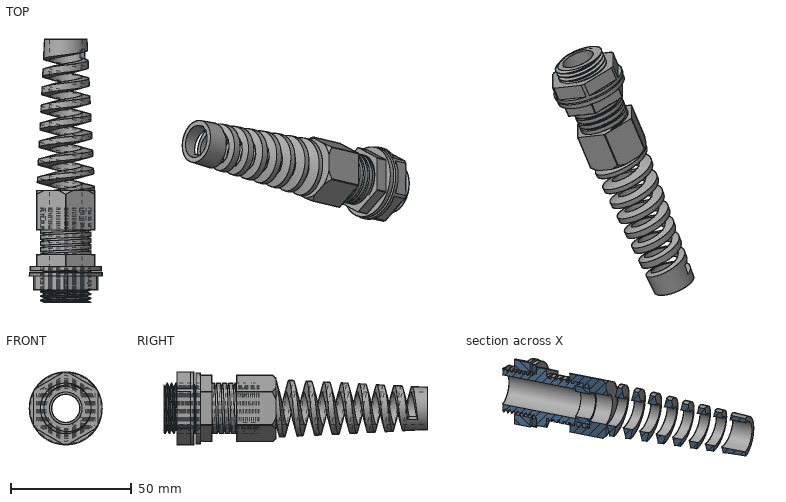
import cadquery as cq
import math


LOCKNUT_BOTTOM = 5.4
FLANGE_BOTTOM = 11.1
LOCKNUT_TOP = 12.5
WASHER_BOTTOM = 13.3
BODY_HEX_BOTTOM = 15.1
BODY_HEX_TOP = 20.0
CAP_BOTTOM = 30.3
BODY_TOP = 39.5
CAP_TOP = 46.7
SLEEVE_TOP = 109.7

THREAD_RADIUS = 10.5
BORE_RADIUS = 6.8
WRENCH_FLATS = 24.1
WRENCH_CORNER_RADIUS = 13.8
LOCKNUT_FLATS = 27.0
FLANGE_RADIUS = 30.4 / 2
WASHER_RADIUS = 14.8

CHAMFER_RADIAL = 1.3
CHAMFER_HEIGHT = 1.5

SLEEVE_BASE_RADIUS = WRENCH_FLATS / 2
SLEEVE_TOP_RADIUS = 8.9
SLOT_TURNS = 8.5
SLOT_RISE = 63.0
SLOT_PITCH = SLOT_RISE / SLOT_TURNS
SLOT_TOP_ANGLE = 30.0
SLOT_TOP = 103.6
SLOT_BORE_WIDTH = 3.1
SLOT_WIDENING = 0.48

ENTRY_PITCH = 3.6 / 2
ENTRY_DEPTH = 1.4
ENTRY_CREST = 0.2
ENTRY_ROOT = 0.4
ENTRY_START = -0.9
ENTRY_END = 14.8

CAP_PITCH = 5.2 / 2
CAP_THREAD_DEPTH = 1.0
CAP_GROOVE_WIDTH = 0.9
CAP_GROOVE_START = 22.1

SEAL_BORE_RADIUS = 5.8
SEAL_OUTER_RADIUS = 8.3
SEAL_LENGTH = 6.6

SLOT_OVERSHOOT = 1.1
THREAD_OVERSHOOT = 0.1


def cylinder(radius, bottom, top):
    return cq.Workplane("XY").workplane(offset=bottom).circle(radius).extrude(top - bottom)


def hex_prism(flats, corner_radius, bottom, top):
    """Hexagon with flats on +X and -X, its corners turned down to corner_radius."""
    corner_to_corner = flats / math.cos(math.radians(30))
    prism = cq.Workplane("XY").workplane(offset=bottom).polygon(6, corner_to_corner).extrude(top - bottom)
    prism = prism.rotate((0, 0, 0), (0, 0, 1), 30)
    return prism.intersect(cylinder(corner_radius, bottom, top))


def helical_cutter(pitch, turns, inner, outer, inner_width, outer_width):
    """Trapezoid swept up a right-hand helix that starts on +X at height zero."""
    helix = cq.Wire.makeHelix(pitch, pitch * turns, (inner + outer) / 2)
    profile = [
        (inner, -inner_width / 2),
        (outer, -outer_width / 2),
        (outer, outer_width / 2),
        (inner, inner_width / 2),
    ]
    return cq.Workplane("XZ").polyline(profile).close().sweep(cq.Workplane(helix), isFrenet=True)


def thread_cutter(pitch, depth, root_width, crest_width, start, end):
    """Thread groove from the root out to just past the thread radius."""
    flare = (crest_width - root_width) / depth
    cutter = helical_cutter(
        pitch,
        (end - start) / pitch,
        THREAD_RADIUS - depth,
        THREAD_RADIUS + THREAD_OVERSHOOT,
        root_width,
        crest_width + flare * THREAD_OVERSHOOT,
    )
    return cutter.translate((0, 0, start))


def make_gland_body():
    entry = cylinder(THREAD_RADIUS, 0, BODY_HEX_BOTTOM)
    entry = entry.cut(
        thread_cutter(
            ENTRY_PITCH,
            ENTRY_DEPTH,
            ENTRY_ROOT,
            ENTRY_PITCH - ENTRY_CREST,
            ENTRY_START,
            ENTRY_END,
        )
    )
    neck = cylinder(THREAD_RADIUS, BODY_HEX_TOP, BODY_TOP)
    neck = neck.cut(
        thread_cutter(
            CAP_PITCH,
            CAP_THREAD_DEPTH,
            CAP_GROOVE_WIDTH,
            CAP_GROOVE_WIDTH,
            CAP_GROOVE_START - CAP_PITCH,
            BODY_TOP + CAP_PITCH,
        )
    )
    wrench_hex = hex_prism(WRENCH_FLATS, WRENCH_CORNER_RADIUS, BODY_HEX_BOTTOM, BODY_HEX_TOP)
    body = wrench_hex.union(entry).union(neck)
    body = body.cut(cylinder(BORE_RADIUS, 0, BODY_TOP))
    return body.cut(cylinder(SEAL_OUTER_RADIUS, BODY_TOP - SEAL_LENGTH, BODY_TOP))


def make_seal():
    bottom = BODY_TOP - SEAL_LENGTH
    return cylinder(SEAL_OUTER_RADIUS, bottom, BODY_TOP).cut(cylinder(SEAL_BORE_RADIUS, bottom, BODY_TOP))


def make_washer():
    ring = cylinder(WASHER_RADIUS, WASHER_BOTTOM, BODY_HEX_BOTTOM)
    return ring.cut(cylinder(THREAD_RADIUS, WASHER_BOTTOM, BODY_HEX_BOTTOM))


def make_locknut():
    nut = hex_prism(LOCKNUT_FLATS, FLANGE_RADIUS, LOCKNUT_BOTTOM, FLANGE_BOTTOM)
    nut = nut.union(cylinder(FLANGE_RADIUS, FLANGE_BOTTOM, LOCKNUT_TOP))
    return nut.cut(cylinder(THREAD_RADIUS, LOCKNUT_BOTTOM, LOCKNUT_TOP))


def make_spiral_sleeve():
    """Tapered tube cut into a spiral by a slot that stops short of the end collar."""
    cone = (
        cq.Workplane("XZ")
        .moveTo(0, CAP_TOP)
        .lineTo(SLEEVE_BASE_RADIUS, CAP_TOP)
        .lineTo(SLEEVE_TOP_RADIUS, SLEEVE_TOP)
        .lineTo(0, SLEEVE_TOP)
        .close()
        .revolve(360, (0, 0, 0), (0, 1, 0))
    )
    tube = cone.cut(cylinder(BORE_RADIUS, CAP_TOP, SLEEVE_TOP))
    inner = BORE_RADIUS - SLOT_OVERSHOOT
    outer = SLEEVE_BASE_RADIUS + SLOT_OVERSHOOT
    slot = helical_cutter(
        SLOT_PITCH,
        SLOT_TURNS,
        inner,
        outer,
        SLOT_BORE_WIDTH + SLOT_WIDENING * (inner - BORE_RADIUS),
        SLOT_BORE_WIDTH + SLOT_WIDENING * (outer - BORE_RADIUS),
    )
    slot = slot.rotate((0, 0, 0), (0, 0, 1), SLOT_TOP_ANGLE - 360 * SLOT_TURNS)
    slot = slot.translate((0, 0, SLOT_TOP - SLOT_RISE))
    return tube.cut(slot)


def make_cap_nut(threaded_body):
    """Hexagonal cap with a matching inner thread and the spiral sleeve moulded onto it."""
    nut = hex_prism(WRENCH_FLATS, WRENCH_CORNER_RADIUS, CAP_BOTTOM, CAP_TOP)
    chamfered_blank = cylinder(WRENCH_CORNER_RADIUS, CAP_BOTTOM, CAP_TOP)
    chamfered_blank = chamfered_blank.faces(">Z").chamfer(CHAMFER_HEIGHT, CHAMFER_RADIAL)
    nut = nut.intersect(chamfered_blank)
    nut = nut.cut(cylinder(SEAL_OUTER_RADIUS, CAP_BOTTOM, BODY_TOP))
    nut = nut.cut(threaded_body, clean=False)
    nut = nut.cut(cylinder(BORE_RADIUS, BODY_TOP, CAP_TOP))
    return nut.union(make_spiral_sleeve())


def lay_along_y(body):
    return body.solids().rotate((0, 0, 0), (1, 0, 0), -90)


upright_body = make_gland_body()
gland_body = lay_along_y(upright_body)
seal = lay_along_y(make_seal())
washer = lay_along_y(make_washer())
locknut = lay_along_y(make_locknut())
cap_nut = lay_along_y(make_cap_nut(upright_body))

result = cq.Compound.makeCompound(
    [gland_body.val(), seal.val(), washer.val(), locknut.val(), cap_nut.val()]
)